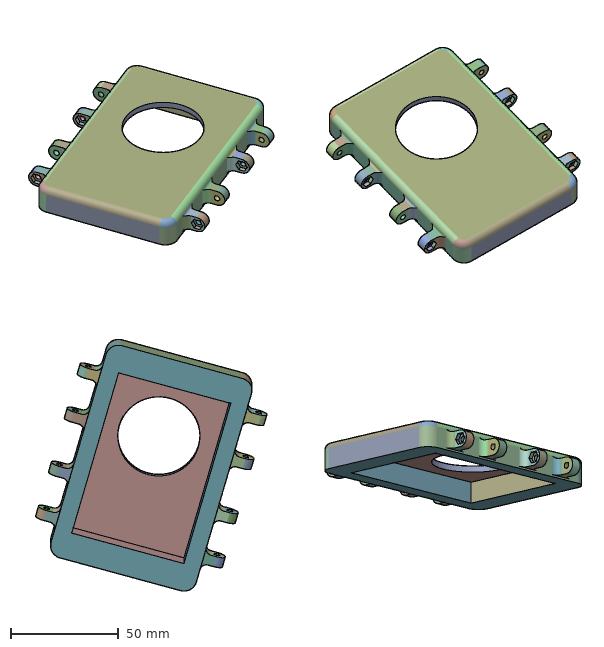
import cadquery as cq
import math

BODY_WIDTH = 70.0
BODY_LENGTH = 106.0
BODY_HEIGHT = 13.0
CORNER_RADIUS = 6.0
TOP_EDGE_RADIUS = 3.0

ROOF_THICKNESS = 3.0
SIDE_WALL = 8.0
END_WALL = 13.0

WINDOW_DIAMETER = 38.0
WINDOW_Y = 13.0

OVERALL_WIDTH = 90.0
LUG_RADIUS = 4.0
LUG_THICKNESS = 5.0
LUG_AXIS_Z = 5.0
LUG_AXIS_X = OVERALL_WIDTH / 2 - LUG_RADIUS
LUG_SIDE_FILLET = 3.0
LUG_TOP_FILLET = 1.0
LUG_OVERLAP = 2.0
LUG_PAIR_CENTERS_Y = (-24.5, 24.5)
LUG_PAIR_SPACING = 22.0

PIN_HOLE_DIAMETER = 2.75
NUT_ACROSS_FLATS = 5.0
NUT_ACROSS_CORNERS = NUT_ACROSS_FLATS / math.cos(math.pi / 6)
NUT_POCKET_DEPTH = 2.0


def make_body():
    body = (
        cq.Workplane("XY")
        .rect(BODY_WIDTH, BODY_LENGTH)
        .extrude(BODY_HEIGHT)
        .edges("|Z")
        .fillet(CORNER_RADIUS)
        .faces(">Z")
        .edges()
        .fillet(TOP_EDGE_RADIUS)
    )
    cavity = cq.Workplane("XY").rect(
        BODY_WIDTH - 2 * SIDE_WALL, BODY_LENGTH - 2 * END_WALL
    ).extrude(BODY_HEIGHT - ROOF_THICKNESS)
    window = (
        cq.Workplane("XY")
        .center(0, WINDOW_Y)
        .circle(WINDOW_DIAMETER / 2)
        .extrude(BODY_HEIGHT)
    )
    return body.cut(cavity).cut(window)


def make_lug_blank():
    """Lug on the +X side, centred on Y = 0, flared by fillets where it meets the wall."""
    wall_x = BODY_WIDTH / 2
    root_x = wall_x - LUG_OVERLAP
    tip_x = OVERALL_WIDTH / 2
    bottom_z = LUG_AXIS_Z - LUG_RADIUS
    top_z = LUG_AXIS_Z + LUG_RADIUS
    half_thickness = LUG_THICKNESS / 2
    root_half = half_thickness + LUG_SIDE_FILLET

    side_profile = (
        cq.Workplane("XZ")
        .moveTo(root_x, bottom_z)
        .lineTo(LUG_AXIS_X, bottom_z)
        .threePointArc((tip_x, LUG_AXIS_Z), (LUG_AXIS_X, top_z))
        .lineTo(wall_x + LUG_TOP_FILLET, top_z)
        .radiusArc((wall_x, top_z + LUG_TOP_FILLET), LUG_TOP_FILLET)
        .lineTo(root_x, top_z + LUG_TOP_FILLET)
        .close()
        .extrude(root_half, both=True)
    )
    plan_profile = (
        cq.Workplane("XY")
        .moveTo(root_x, -root_half)
        .lineTo(wall_x, -root_half)
        .radiusArc((wall_x + LUG_SIDE_FILLET, -half_thickness), LUG_SIDE_FILLET)
        .lineTo(tip_x, -half_thickness)
        .lineTo(tip_x, half_thickness)
        .lineTo(wall_x + LUG_SIDE_FILLET, half_thickness)
        .radiusArc((wall_x, root_half), LUG_SIDE_FILLET)
        .lineTo(root_x, root_half)
        .close()
        .extrude(BODY_HEIGHT)
    )
    return side_profile.intersect(plan_profile)


def make_bored_lug():
    hole = (
        cq.Workplane("XZ")
        .center(LUG_AXIS_X, LUG_AXIS_Z)
        .circle(PIN_HOLE_DIAMETER / 2)
        .extrude(LUG_THICKNESS, both=True)
    )
    return make_lug_blank().cut(hole)


def make_nut_lug():
    nut_pocket = (
        cq.Workplane("XZ", origin=(0, -LUG_THICKNESS / 2 + NUT_POCKET_DEPTH, 0))
        .center(LUG_AXIS_X, LUG_AXIS_Z)
        .polygon(6, NUT_ACROSS_CORNERS)
        .extrude(LUG_THICKNESS)
    )
    return make_bored_lug().cut(nut_pocket)


def add_lugs(body):
    plain_lug = make_bored_lug()
    nut_lug = make_nut_lug()
    for pair_y in LUG_PAIR_CENTERS_Y:
        for lug, offset_y in ((nut_lug, -LUG_PAIR_SPACING / 2), (plain_lug, LUG_PAIR_SPACING / 2)):
            placed = lug.translate((0, pair_y + offset_y, 0))
            body = body.union(placed).union(placed.mirror("YZ"))
    return body


result = add_lugs(make_body())